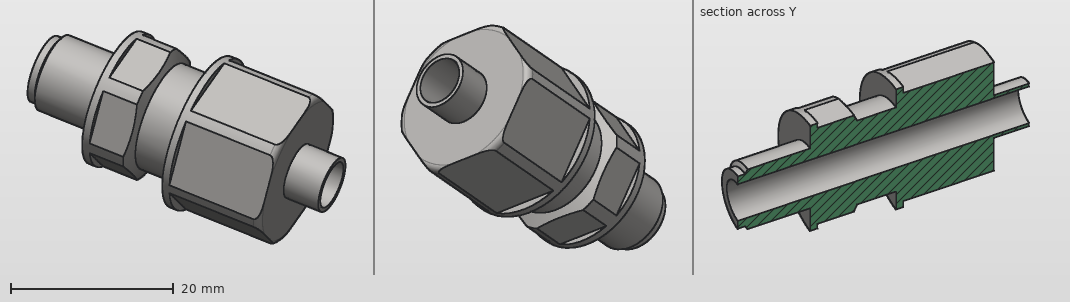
import cadquery as cq

total_length = 40.0
bore_diameter = 6.0

pilot_diameter = 8.75
pilot_end = 1.0
spigot_diameter = 10.0
spigot_chamfer_end = 1.35

body_collar_start = 9.9
body_diameter = 17.5
body_flats_start = 10.95
body_across_flats = 16.0
body_cone_start = 15.65
body_cone_end = 16.4
neck_diameter = 14.0

nut_collar_start = 21.7
nut_diameter = 20.0
nut_flats_start = 22.7
nut_across_flats = 18.0
nut_end = 35.2
nut_edge_radius = 0.85

tube_diameter = 7.15

hex_turn = 30


def cylinder(diameter, start, end):
    """Cylinder along X between two stations."""
    return cq.Workplane("YZ", origin=(start, 0, 0)).circle(diameter / 2).extrude(end - start)


def cut_hex_flats(solid, across_flats, diameter, start, end):
    """Cut six flats, one pair of them facing +Z and -Z."""
    waste = (
        cq.Workplane("YZ", origin=(start, 0, 0))
        .circle(diameter)
        .transformed(rotate=(0, 0, hex_turn))
        .polygon(6, across_flats, circumscribed=True)
        .extrude(end - start)
    )
    return solid.cut(waste)


def make_spigot():
    """Pilot tip, lead-in chamfer and plain spigot."""
    return (
        cq.Workplane("XY")
        .lineTo(0, pilot_diameter / 2)
        .lineTo(pilot_end, pilot_diameter / 2)
        .lineTo(spigot_chamfer_end, spigot_diameter / 2)
        .lineTo(body_collar_start, spigot_diameter / 2)
        .lineTo(body_collar_start, 0)
        .close()
        .revolve(360, (0, 0, 0), (1, 0, 0))
    )


def make_body():
    """Collared hexagon whose corners taper down to the neck."""
    blank = (
        cq.Workplane("XY")
        .moveTo(body_collar_start, 0)
        .lineTo(body_collar_start, body_diameter / 2)
        .lineTo(body_cone_start, body_diameter / 2)
        .lineTo(body_cone_end, neck_diameter / 2)
        .lineTo(nut_collar_start, neck_diameter / 2)
        .lineTo(nut_collar_start, 0)
        .close()
        .revolve(360, (0, 0, 0), (1, 0, 0))
    )
    return cut_hex_flats(blank, body_across_flats, body_diameter, body_flats_start, body_cone_end)


def make_nut():
    """Collared hexagon with its rear edge rounded before the flats are cut."""
    blank = cylinder(nut_diameter, nut_collar_start, nut_end).faces(">X").edges().fillet(nut_edge_radius)
    return cut_hex_flats(blank, nut_across_flats, nut_diameter, nut_flats_start, nut_end)


tube = cylinder(tube_diameter, nut_end, total_length)
bore = cylinder(bore_diameter, 0, total_length)

result = make_spigot().union(make_body()).union(make_nut()).union(tube).cut(bore)